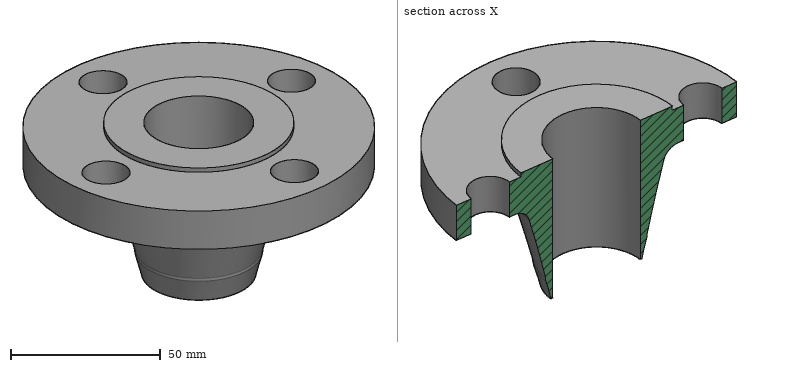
import cadquery as cq
import math

flange_diameter = 117.5
total_height = 57.2

face_diameter = 63.5
face_height = 1.6
flange_thickness = 14.6

hub_top_radius = 28.3
weld_radius = 21.4
weld_end_radius = 19.1
band_height = 1.0
bevel_height = 8.5
root_drop = 4.6

bore_diameter = 36.7
bolt_hole_diameter = 16.0
bolt_circle_diameter = 88.9
bolt_count = 4

bevel_top = bevel_height
cone_bottom = bevel_top + band_height
flange_top = total_height - face_height
flange_bottom = flange_top - flange_thickness
cone_top = flange_bottom - root_drop

cone_angle = math.atan2(hub_top_radius - weld_radius, cone_top - cone_bottom)
root_radius = root_drop / (1 - math.sin(cone_angle))
root_center_x = hub_top_radius + root_radius * math.cos(cone_angle)
root_center_z = flange_bottom - root_radius
middle_angle = (math.pi / 2 + math.pi - cone_angle) / 2
root_middle = (
    root_center_x + root_radius * math.cos(middle_angle),
    root_center_z + root_radius * math.sin(middle_angle),
)


def make_body():
    """Revolve the solid outer profile about the Z axis."""
    return (
        cq.Workplane("XZ")
        .moveTo(0, 0)
        .lineTo(weld_end_radius, 0)
        .lineTo(weld_radius, bevel_top)
        .lineTo(weld_radius, cone_bottom)
        .lineTo(hub_top_radius, cone_top)
        .threePointArc(root_middle, (root_center_x, flange_bottom))
        .lineTo(flange_diameter / 2, flange_bottom)
        .lineTo(flange_diameter / 2, flange_top)
        .lineTo(face_diameter / 2, flange_top)
        .lineTo(face_diameter / 2, total_height)
        .lineTo(0, total_height)
        .close()
        .revolve(360, (0, 0, 0), (0, 1, 0))
    )


def make_bore():
    return cq.Workplane("XY").circle(bore_diameter / 2).extrude(total_height)


def make_bolt_holes():
    return (
        cq.Workplane("XY")
        .workplane(offset=flange_bottom)
        .polarArray(bolt_circle_diameter / 2, 0, 360, bolt_count)
        .circle(bolt_hole_diameter / 2)
        .extrude(flange_thickness)
    )


result = make_body().cut(make_bore()).cut(make_bolt_holes())